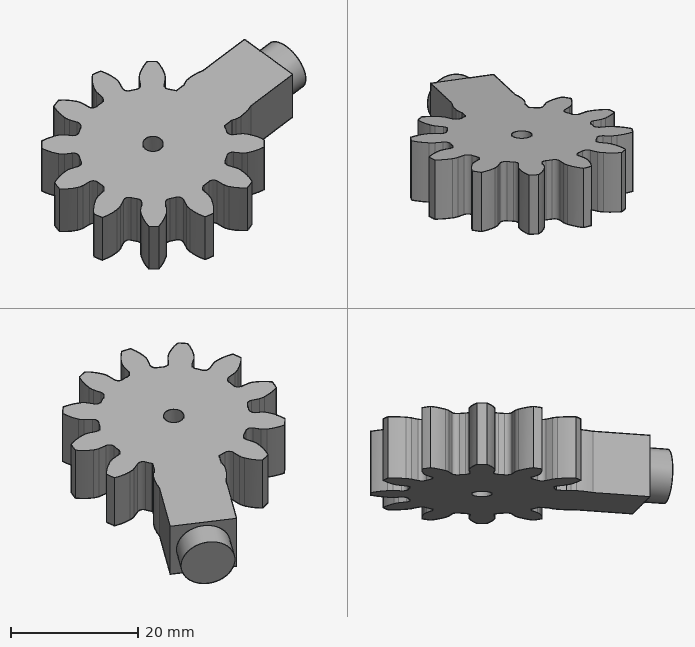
import cadquery as cq
import math

overall_length = 47.0
thickness = 10.0

tooth_count = 12
tip_diameter = 35.0
pressure_angle = math.radians(20)
root_fillet_radius = 0.95
bore_diameter = 3.2

arm_width = 10.6
pin_diameter = 8.6
pin_length = 4.0

dedendum_ratio = 1.25
gear_module = tip_diameter / (tooth_count + 2)
tip_radius = tip_diameter / 2
pitch_radius = gear_module * tooth_count / 2
root_radius = pitch_radius - dedendum_ratio * gear_module
base_radius = pitch_radius * math.cos(pressure_angle)
tooth_pitch = 2 * math.pi / tooth_count


def involute(angle):
    """Involute function of a pressure angle."""
    return math.tan(angle) - angle


def tooth_half_angle(radius):
    """Half of the angle that a tooth spans at the given radius, outside the base circle."""
    return tooth_pitch / 4 + involute(pressure_angle) - involute(math.acos(base_radius / radius))


flank_radii = [
    base_radius,
    (base_radius + pitch_radius) / 2,
    pitch_radius,
    (pitch_radius + tip_radius) / 2,
    tip_radius,
]

base_half_angle = tooth_half_angle(base_radius)
tip_half_angle = tooth_half_angle(tip_radius)

fillet_centre_radius = root_radius + root_fillet_radius
fillet_half_angle = base_half_angle + math.asin(root_fillet_radius / fillet_centre_radius)
fillet_top_radius = math.sqrt(fillet_centre_radius**2 - root_fillet_radius**2)

lowest_y = -tip_radius * math.cos(tooth_pitch / 2 - tip_half_angle)
pin_end_y = lowest_y + overall_length
arm_end_y = pin_end_y - pin_length


def polar(radius, angle):
    return (radius * math.cos(angle), radius * math.sin(angle))


def fillet_middle(tooth_angle, side):
    """Middle point of the root fillet on one side (-1 or 1) of a tooth."""
    gap_angle = tooth_angle + side * fillet_half_angle
    centre_x, centre_y = polar(fillet_centre_radius, gap_angle)
    towards_root = gap_angle + math.pi
    towards_flank = tooth_angle + side * (base_half_angle - math.pi / 2)
    bisector_x = math.cos(towards_root) + math.cos(towards_flank)
    bisector_y = math.sin(towards_root) + math.sin(towards_flank)
    reach = root_fillet_radius / math.hypot(bisector_x, bisector_y)
    return (centre_x + reach * bisector_x, centre_y + reach * bisector_y)


def add_flank(outline, tooth_angle, side, radii):
    """Continue the outline along an involute flank as two arcs, through points at five radii."""
    points = [polar(r, tooth_angle + side * tooth_half_angle(r)) for r in radii]
    return outline.threePointArc(points[1], points[2]).threePointArc(points[3], points[4])


def add_tooth(outline, tooth_angle):
    """Continue the outline counterclockwise over one tooth and the root of the next gap."""
    fillet_top_start = polar(fillet_top_radius, tooth_angle - base_half_angle)
    fillet_top_end = polar(fillet_top_radius, tooth_angle + base_half_angle)
    root_start = polar(root_radius, tooth_angle + fillet_half_angle)
    root_middle = polar(root_radius, tooth_angle + tooth_pitch / 2)
    root_end = polar(root_radius, tooth_angle + tooth_pitch - fillet_half_angle)

    outline = outline.threePointArc(fillet_middle(tooth_angle, -1), fillet_top_start)
    outline = outline.lineTo(*polar(base_radius, tooth_angle - base_half_angle))
    outline = add_flank(outline, tooth_angle, -1, flank_radii)
    outline = outline.threePointArc(
        polar(tip_radius, tooth_angle),
        polar(tip_radius, tooth_angle + tip_half_angle),
    )
    outline = add_flank(outline, tooth_angle, 1, flank_radii[::-1])
    outline = outline.lineTo(*fillet_top_end)
    outline = outline.threePointArc(fillet_middle(tooth_angle, 1), root_start)
    return outline.threePointArc(root_middle, root_end)


def make_gear():
    first_tooth = (tooth_pitch - math.pi) / 2
    outline = cq.Workplane("XY").moveTo(*polar(root_radius, first_tooth - fillet_half_angle))
    for i in range(tooth_count):
        outline = add_tooth(outline, first_tooth + i * tooth_pitch)
    return outline.close().extrude(thickness)


def make_arm():
    """Full-thickness bar from the gear centre towards +Y, filling the gap between two teeth."""
    return cq.Workplane("XY").box(arm_width, arm_end_y, thickness, centered=(True, False, False))


def make_pin():
    """Round pin on the end face of the arm, centred in the thickness."""
    end_face = cq.Plane(origin=(0, arm_end_y, thickness / 2), xDir=(1, 0, 0), normal=(0, 1, 0))
    return cq.Workplane(end_face).circle(pin_diameter / 2).extrude(pin_length)


bore = cq.Workplane("XY").circle(bore_diameter / 2).extrude(thickness)

result = make_gear().union(make_arm()).union(make_pin()).cut(bore)